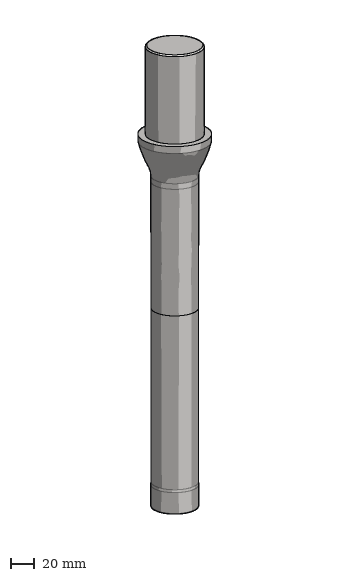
import cadquery as cq

TOTAL_LENGTH = 416.0
SHANK_DIAMETER = 40.8
WAIST_DIAMETER = 40.5
HEAD_DIAMETER = 50.0
COLLAR_DIAMETER = 62.5

BAND_BOTTOM = 21.0
BAND_TOP = 23.5
SEAM_HEIGHT = 179.5
TAPER_TOP = 293.5
NECK_TOP = 298.5
COLLAR_TOP = 336.0
COLLAR_THICKNESS = 6.2
COLLAR_BOTTOM = COLLAR_TOP - COLLAR_THICKNESS

FLARE_MID_RADIUS = 25.5
FLARE_MID_HEIGHT = 313.2
FLARE_TOP_SLOPE = 0.3

DOME_HEIGHT = 1.2
FOOT_FILLET = 1.0
HEAD_CHAMFER = 1.2

shank_radius = SHANK_DIAMETER / 2
waist_radius = WAIST_DIAMETER / 2
head_radius = HEAD_DIAMETER / 2
collar_radius = COLLAR_DIAMETER / 2


def revolve_about_z(profile):
    """Turn a closed half outline in the XZ plane into a solid about the Z axis."""
    return profile.revolve(360, (0, 0), (0, 1))


def make_lower_rod():
    """Rod with a gently domed, rounded foot, narrowing slightly across a short tapered band."""
    dome_mid_radius = shank_radius / 2
    dome_sphere_radius = (shank_radius**2 + DOME_HEIGHT**2) / (2 * DOME_HEIGHT)
    dome_mid_height = dome_sphere_radius - (dome_sphere_radius**2 - dome_mid_radius**2) ** 0.5
    profile = (
        cq.Workplane("XZ")
        .moveTo(0, 0)
        .threePointArc((dome_mid_radius, dome_mid_height), (shank_radius, DOME_HEIGHT))
        .lineTo(shank_radius, BAND_BOTTOM)
        .lineTo(waist_radius, BAND_TOP)
        .lineTo(waist_radius, SEAM_HEIGHT)
        .lineTo(0, SEAM_HEIGHT)
        .close()
    )
    rod = revolve_about_z(profile)
    foot_edge = rod.faces("%CYLINDER").faces("<Z").edges("<Z")
    return foot_edge.fillet(FOOT_FILLET)


def make_upper_rod():
    """Slightly tapered shank flaring through an S-curve into the collar and the head."""
    flare_points = [
        (FLARE_MID_RADIUS, FLARE_MID_HEIGHT),
        (collar_radius, COLLAR_BOTTOM),
    ]
    flare_tangents = [(0, 1), (FLARE_TOP_SLOPE, 1)]
    profile = (
        cq.Workplane("XZ")
        .moveTo(0, SEAM_HEIGHT)
        .lineTo(waist_radius, SEAM_HEIGHT)
        .lineTo(shank_radius, TAPER_TOP)
        .lineTo(shank_radius, NECK_TOP)
        .spline(flare_points, tangents=flare_tangents, includeCurrent=True)
        .lineTo(collar_radius, COLLAR_TOP)
        .lineTo(head_radius, COLLAR_TOP)
        .lineTo(head_radius, TOTAL_LENGTH)
        .lineTo(0, TOTAL_LENGTH)
        .close()
    )
    rod = revolve_about_z(profile)
    return rod.faces(">Z").edges().chamfer(HEAD_CHAMFER)


lower_rod = make_lower_rod()
upper_rod = make_upper_rod()

result = cq.Compound.makeCompound([lower_rod.val(), upper_rod.val()])